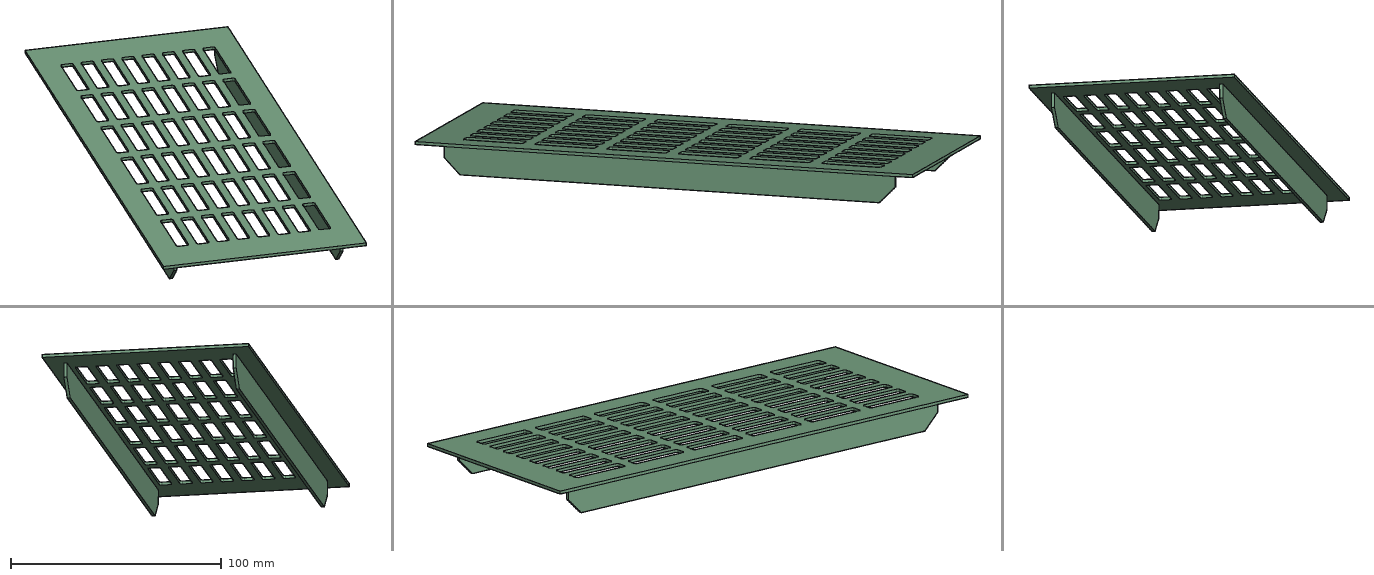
import cadquery as cq

plate_length = 250.0
plate_width = 100.0
sheet_thickness = 1.5
overall_height = 16.5

slot_length = 30.0
slot_width = 6.0
slot_corner_radius = 1.0
slot_columns = 6
slot_rows = 8
slot_pitch_x = 36.0
slot_pitch_y = 10.0

rail_length = 226.5
rail_spacing = 82.0
rail_chamfer = 8.0
rail_height = overall_height - sheet_thickness


def make_plate():
    """Flat plate with its underside on Z = 0."""
    return cq.Workplane("XY").box(
        plate_length, plate_width, sheet_thickness, centered=(True, True, False)
    )


def make_slots():
    """Slot-shaped cutters that pass through the plate."""
    return (
        cq.Workplane("XY")
        .rarray(slot_pitch_x, slot_pitch_y, slot_columns, slot_rows)
        .rect(slot_length, slot_width)
        .extrude(sheet_thickness)
        .edges("|Z")
        .fillet(slot_corner_radius)
    )


def make_rail(center_y):
    """Strip below the plate with its two lower corners cut off."""
    return (
        cq.Workplane("XY")
        .box(rail_length, sheet_thickness, rail_height, centered=(True, True, False))
        .faces("<Z")
        .edges("|Y")
        .chamfer(rail_chamfer)
        .translate((0, center_y, -rail_height))
    )


result = make_plate().cut(make_slots())
for side in (-1, 1):
    result = result.union(make_rail(side * rail_spacing / 2))